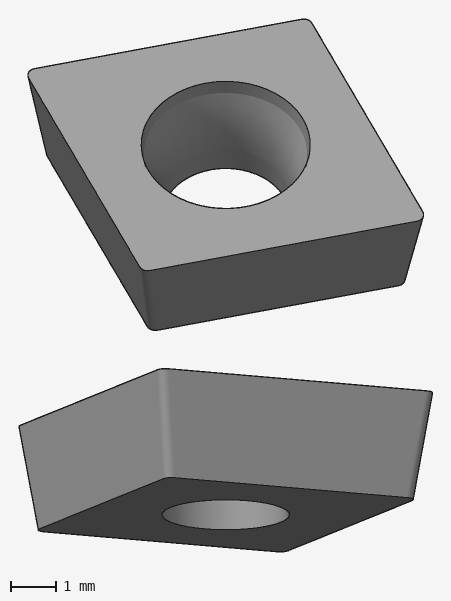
import cadquery as cq
import math

inscribed_diameter = 6.35
thickness = 2.38
corner_angle = math.radians(80)
clearance_angle = math.radians(7)
corner_radius = 0.2

bore_diameter = 2.8
mouth_diameter = 3.72
mouth_depth = 0.32
seat_depth = 1.77
seat_radius = 2.85


def rounded_rhombus(inscribed, height):
    """Sketch of the insert outline at one height, with rounded corners."""
    half_height = inscribed / 2
    half_side = half_height / math.sin(corner_angle)
    lean = half_height / math.tan(corner_angle)
    corners = [
        (-half_side - lean, -half_height),
        (half_side - lean, -half_height),
        (half_side + lean, half_height),
        (-half_side + lean, half_height),
    ]
    sketch = cq.Sketch().polygon(corners + corners[:1]).vertices().fillet(corner_radius)
    return sketch.moved(cq.Location(cq.Vector(0, 0, height)))


def insert_body():
    """Flanks lean inward from the top face down to the bottom face."""
    bottom_inscribed = inscribed_diameter - 2 * thickness * math.tan(clearance_angle)
    bottom = rounded_rhombus(bottom_inscribed, 0)
    top = rounded_rhombus(inscribed_diameter, thickness)
    return cq.Workplane("XY").placeSketch(bottom, top).loft(ruled=True)


def screw_hole():
    """Revolved cutter for the bore, the conical mouth and the rounded seat tangent to the bore."""
    bore_radius = bore_diameter / 2
    seat_height = seat_depth - mouth_depth
    seat_flare = seat_radius - math.sqrt(seat_radius**2 - seat_height**2)
    seat_bottom = (bore_radius, thickness - seat_depth)
    seat_top = (bore_radius + seat_flare, thickness - mouth_depth)
    return (
        cq.Workplane("XZ")
        .lineTo(bore_radius, 0)
        .lineTo(*seat_bottom)
        .tangentArcPoint(seat_top, relative=False)
        .lineTo(mouth_diameter / 2, thickness)
        .lineTo(0, thickness)
        .close()
        .revolve(360, (0, 0, 0), (0, 1, 0))
    )


result = insert_body().cut(screw_hole())